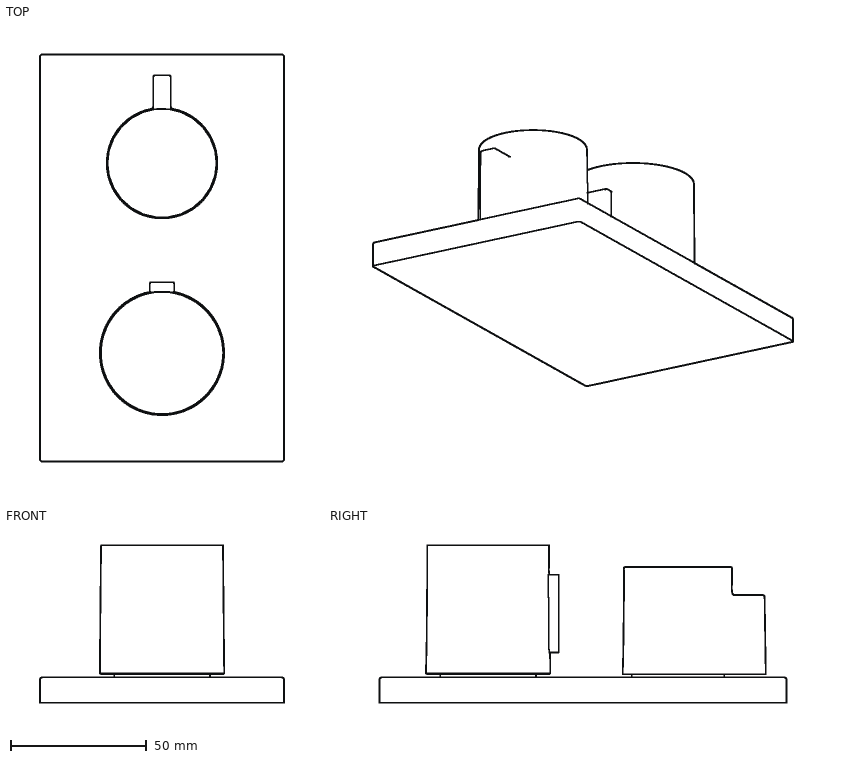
import cadquery as cq

PLATE_WIDTH = 90.0
PLATE_LENGTH = 150.0
PLATE_THICKNESS = 9.5
PLATE_EDGE_RADIUS = 1.0

TOTAL_HEIGHT = 58.0
KNOB_OFFSET = 35.0
KNOB_GAP = 1.0
KNOB_BASE_Z = PLATE_THICKNESS + KNOB_GAP

LEVER_KNOB_BASE_RADIUS = 20.4
LEVER_KNOB_TOP_RADIUS = 20.0
LEVER_KNOB_TOP_Z = 50.1
LEVER_KNOB_RIM_RADIUS = 0.8
LEVER_COLLAR_RADIUS = 17.1

LEVER_WIDTH = 6.6
LEVER_BASE_REACH = 32.4
LEVER_TOP_REACH = 32.0
LEVER_TOP_Z = 39.8
LEVER_EDGE_RADIUS = 0.9
LEVER_ROOT_RADIUS = 0.8

BUTTON_KNOB_BASE_RADIUS = 23.0
BUTTON_KNOB_TOP_RADIUS = 22.5
BUTTON_KNOB_BASE_CHAMFER = 0.5
BUTTON_COLLAR_RADIUS = 17.7

BUTTON_WIDTH = 8.8
BUTTON_REACH = 26.1
BUTTON_BOTTOM_Z = 18.5
BUTTON_TOP_Z = 47.2
BUTTON_EDGE_RADIUS = 0.5


def make_plate():
    """Rectangular plate with rounded upright and top edges."""
    plate = cq.Workplane("XY").box(
        PLATE_WIDTH, PLATE_LENGTH, PLATE_THICKNESS, centered=(True, True, False)
    )
    return plate.edges("|Z or >Z").fillet(PLATE_EDGE_RADIUS)


def make_collar(radius, axis_y):
    """Short disc that fills the gap between the plate and a knob."""
    return (
        cq.Workplane("XY", origin=(0, axis_y, PLATE_THICKNESS))
        .circle(radius)
        .extrude(KNOB_GAP)
    )


def make_tapered_cylinder(base_radius, top_radius, top_z):
    """Knob barrel on the Z axis, narrowing evenly from its base to its top."""
    return (
        cq.Workplane("XZ")
        .polyline([(0, KNOB_BASE_Z), (base_radius, KNOB_BASE_Z), (top_radius, top_z), (0, top_z)])
        .close()
        .revolve(360, (0, 0), (0, 1))
    )


def make_lever():
    """Fin running from the knob axis to its sloping, rounded tip."""
    lever = (
        cq.Workplane("YZ")
        .polyline([
            (0, KNOB_BASE_Z),
            (LEVER_BASE_REACH, KNOB_BASE_Z),
            (LEVER_TOP_REACH, LEVER_TOP_Z),
            (0, LEVER_TOP_Z),
        ])
        .close()
        .extrude(LEVER_WIDTH / 2, both=True)
    )
    tip_and_top_edges = lever.faces(">Y or >Z").edges("not(<Y or <Z)")
    return tip_and_top_edges.fillet(LEVER_EDGE_RADIUS)


def make_lever_knob():
    """Barrel with a rounded rim and a lever blended into its flank."""
    barrel = make_tapered_cylinder(LEVER_KNOB_BASE_RADIUS, LEVER_KNOB_TOP_RADIUS, LEVER_KNOB_TOP_Z)
    barrel = barrel.faces(">Z").edges().fillet(LEVER_KNOB_RIM_RADIUS)
    knob = barrel.union(make_lever())
    root_edges = knob.edges(
        cq.selectors.BoxSelector(
            (-LEVER_WIDTH, LEVER_KNOB_TOP_RADIUS - 1.5, KNOB_BASE_Z + 1.5),
            (LEVER_WIDTH, LEVER_KNOB_BASE_RADIUS, LEVER_TOP_Z + 1.5),
        )
    )
    knob = root_edges.fillet(LEVER_ROOT_RADIUS)
    return knob.translate((0, KNOB_OFFSET, 0))


def make_button_knob():
    """Sharp-topped barrel with a button block on its flank."""
    barrel = make_tapered_cylinder(BUTTON_KNOB_BASE_RADIUS, BUTTON_KNOB_TOP_RADIUS, TOTAL_HEIGHT)
    barrel = barrel.faces("<Z").edges().chamfer(BUTTON_KNOB_BASE_CHAMFER)
    button = (
        cq.Workplane("XY", origin=(0, 0, BUTTON_BOTTOM_Z))
        .box(BUTTON_WIDTH, BUTTON_REACH, BUTTON_TOP_Z - BUTTON_BOTTOM_Z, centered=(True, False, False))
        .faces(">Y")
        .edges()
        .fillet(BUTTON_EDGE_RADIUS)
    )
    return barrel.union(button).translate((0, -KNOB_OFFSET, 0))


plate = make_plate()
lever_collar = make_collar(LEVER_COLLAR_RADIUS, KNOB_OFFSET)
button_collar = make_collar(BUTTON_COLLAR_RADIUS, -KNOB_OFFSET)
lever_knob = make_lever_knob()
button_knob = make_button_knob()

result = cq.Compound.makeCompound([
    plate.val(),
    lever_collar.val(),
    button_collar.val(),
    *lever_knob.vals(),
    *button_knob.vals(),
])